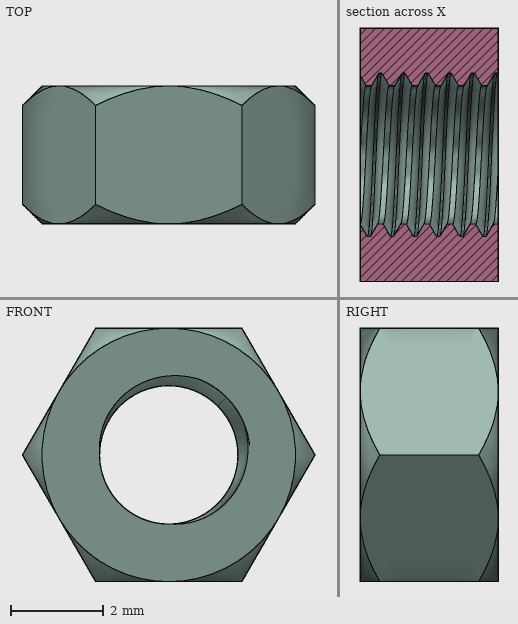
import cadquery as cq
import math

across_corners = 6.35
across_flats = across_corners * math.cos(math.radians(30))
thickness = 3.0

bore_diameter = 3.0
pitch = 0.5
crest_width = pitch / 4
root_width = pitch / 8
flank_angle = 30.0
root_angle = 45.0

bore_radius = bore_diameter / 2
flank_width = (pitch - crest_width - root_width) / 2
flank_slope = math.tan(math.radians(flank_angle))
groove_depth = flank_width / flank_slope


def make_blank():
    """Hexagonal prism along Z, both ends chamfered at 45 degrees down to the flats."""
    corner_radius = across_corners / 2
    face_radius = across_flats / 2
    half = thickness / 2
    chamfer = corner_radius - face_radius
    prism = cq.Workplane("XY").polygon(6, across_corners).extrude(half, both=True)
    envelope = (
        cq.Workplane("XZ")
        .moveTo(0, -half)
        .lineTo(face_radius, -half)
        .lineTo(corner_radius, chamfer - half)
        .lineTo(corner_radius, half - chamfer)
        .lineTo(face_radius, half)
        .lineTo(0, half)
        .close()
        .revolve(360, (0, 0), (0, 1))
    )
    return prism.intersect(envelope)


def make_screw():
    """Solid right-hand screw along Z that fills the threaded bore and runs out past both ends."""
    root_radius = bore_radius + groove_depth
    profile = [
        (root_radius, 0),
        (root_radius, root_width / 2),
        (bore_radius, root_width / 2 + flank_width),
        (bore_radius, root_width / 2 + flank_width + crest_width),
        (root_radius, pitch - root_width / 2),
        (root_radius, pitch),
    ]

    def helix_turn(radius, height):
        return cq.Wire.makeHelix(pitch, pitch, radius, cq.Vector(0, 0, height)).Edges()[0]

    def end_cap(height):
        """Helicoid from the axis out to the root, plus the flat step that closes its one-pitch gap."""
        axis = cq.Edge.makeLine(cq.Vector(0, 0, height), cq.Vector(0, 0, height + pitch))
        outline = [cq.Vector(0, 0, height)]
        outline += [cq.Vector(radius, 0, height + rise) for radius, rise in profile]
        outline.append(cq.Vector(0, 0, height + pitch))
        step = cq.Face.makeFromWires(cq.Wire.makePolygon(outline, close=True))
        return [cq.Face.makeRuledSurface(axis, helix_turn(root_radius, height)), step]

    turns = math.ceil(thickness / pitch) + 3
    bottom = thickness / 2 - (turns - 1) * pitch
    faces = end_cap(bottom) + end_cap(bottom + turns * pitch)
    for turn in range(turns):
        height = bottom + turn * pitch
        for (radius, rise), (next_radius, next_rise) in zip(profile, profile[1:]):
            lower = helix_turn(radius, height + rise)
            upper = helix_turn(next_radius, height + next_rise)
            faces.append(cq.Face.makeRuledSurface(lower, upper))

    screw = cq.Solid.makeSolid(cq.Shell.makeShell(faces)).fix()
    return cq.Workplane(screw).rotate((0, 0, 0), (0, 0, 1), root_angle)


nut = make_blank().cut(make_screw())

result = nut.rotate((0, 0, 0), (1, 0, 0), 90)